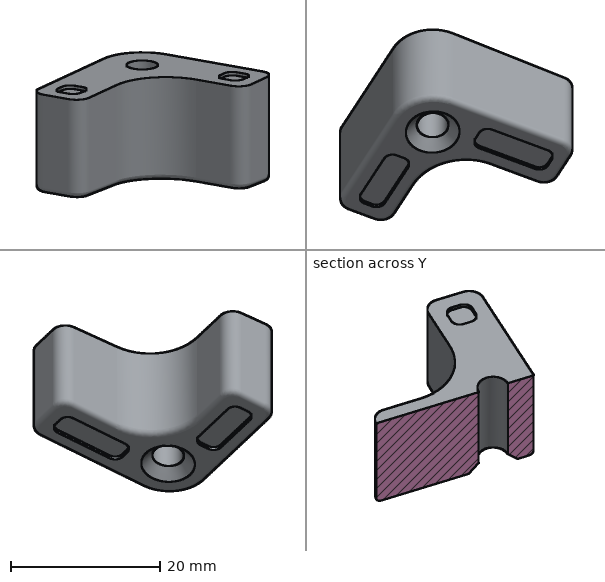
import cadquery as cq
import math

size_x = 23.17
size_y = 24.75
height = 14.75
leg_width = 7.97
outer_corner_radius = 5.96
inner_corner_radius = 7.72
leg_end_radius = 2.0

underside_angle = 2.27
rim_radius = 0.75
slope = math.tan(math.radians(underside_angle))

bolt_offset = 5.96
bolt_diameter = 4.2
countersink_diameter = 7.2
countersink_depth = (countersink_diameter - bolt_diameter) / 2

recess_width = 3.61
recess_corner_radius = 1.24
recess_end_gap = (leg_width - recess_width) / 2
recess_depth = 0.5
slot_to_bolt = 5.7

left, right = -size_x / 2, size_x / 2
front, back = -size_y / 2, size_y / 2
leg_center_x = left + leg_width / 2
leg_center_y = back - leg_width / 2
bolt_x = left + bolt_offset
bolt_y = back - bolt_offset

lowest_y = back - rim_radius * (1 + math.sin(math.radians(underside_angle)))


def underside_z(y):
    return (lowest_y - y) * slope


def sloped_prism(rise, clearance):
    """Everything from the underside plane down, shifted up by rise."""
    y_front, y_back = front - clearance, back + clearance
    floor = -height
    return (
        cq.Workplane("YZ")
        .polyline([
            (y_front, floor),
            (y_back, floor),
            (y_back, underside_z(y_back) + rise),
            (y_front, underside_z(y_front) + rise),
        ])
        .close()
        .extrude(size_x / 2 + clearance, both=True)
    )


def l_block():
    inner_x = left + leg_width
    inner_y = back - leg_width
    bottom = -size_y * slope
    block = (
        cq.Workplane("XY", origin=(0, 0, bottom))
        .polyline([
            (left, front),
            (inner_x, front),
            (inner_x, inner_y),
            (right, inner_y),
            (right, back),
            (left, back),
        ])
        .close()
        .extrude(height - bottom)
    )
    corner_radii = [
        ((left, back), outer_corner_radius),
        ((inner_x, inner_y), inner_corner_radius),
        ((left, front), leg_end_radius),
        ((inner_x, front), leg_end_radius),
        ((right, inner_y), leg_end_radius),
        ((right, back), leg_end_radius),
    ]
    for (x, y), radius in corner_radii:
        corner = cq.selectors.NearestToPointSelector((x, y, (height + bottom) / 2))
        block = block.edges("|Z").edges(corner).fillet(radius)
    block = block.cut(sloped_prism(0, leg_width))
    return block.faces("<Z").edges().fillet(rim_radius)


def rounded_bar(x_min, x_max, y_min, y_max, z_min, z_max):
    return (
        cq.Workplane("XY", origin=((x_min + x_max) / 2, (y_min + y_max) / 2, z_min))
        .rect(x_max - x_min, y_max - y_min)
        .extrude(z_max - z_min)
        .edges("|Z")
        .fillet(recess_corner_radius)
    )


def leg_recesses(length_x, length_y, z_min, z_max):
    """One recess per leg, each running from near the leg end toward the bolt hole."""
    half = recess_width / 2
    end_x = right - recess_end_gap
    end_y = front + recess_end_gap
    x_leg = rounded_bar(end_x - length_x, end_x, leg_center_y - half, leg_center_y + half, z_min, z_max)
    y_leg = rounded_bar(leg_center_x - half, leg_center_x + half, end_y, end_y + length_y, z_min, z_max)
    return x_leg.union(y_leg)


def top_pockets():
    return leg_recesses(recess_width, recess_width, height - recess_depth, height)


def underside_slots():
    """Slots of constant depth below the sloping underside."""
    length_x = right - recess_end_gap - (bolt_x + slot_to_bolt)
    length_y = bolt_y - slot_to_bolt - (front + recess_end_gap)
    bars = leg_recesses(length_x, length_y, -height / 2, height / 2)
    return bars.intersect(sloped_prism(recess_depth, leg_width))


def bolt_hole():
    """Through hole with a 90 degree countersink square to the underside."""
    hole = cq.Workplane("XY", origin=(bolt_x, bolt_y, -height)).circle(bolt_diameter / 2).extrude(3 * height)
    large_radius = countersink_diameter / 2
    cone = cq.Solid.makeCone(
        large_radius + countersink_depth,
        large_radius - countersink_depth,
        2 * countersink_depth,
        pnt=cq.Vector(0, 0, -countersink_depth),
    )
    countersink = (
        cq.Workplane(cone)
        .rotate((0, 0, 0), (1, 0, 0), -underside_angle)
        .translate((bolt_x, bolt_y, underside_z(bolt_y)))
    )
    return hole.union(countersink)


result = l_block().cut(top_pockets()).cut(underside_slots()).cut(bolt_hole())